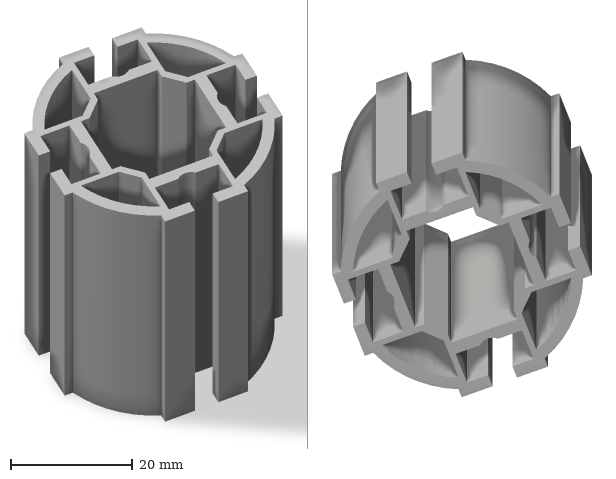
import cadquery as cq
import math

length = 50.0
outer_radius = 20.0
ring_thickness = 2.0

lip_block_width = 15.2
slot_opening = 4.3
slot_width = 11.7
lip_thickness = 2.1
slot_floor = 12.55
groove_width = 3.2
groove_depth = 0.65

side_web = 1.0
floor_web = 2.1
bore_corner = 8.9
diagonal_web = 1.25

inner_radius = outer_radius - ring_thickness
slot_half = slot_width / 2
bore_half = slot_floor - floor_web
pocket_edge = slot_half + side_web
pocket_corner = bore_corner + slot_half + diagonal_web * math.sqrt(2) - pocket_edge


def body():
    """Round bar with square-edged lip blocks on its four sides."""
    bar = cq.Workplane("XY").circle(outer_radius).extrude(length)
    for block_x, block_y in (
        (2 * outer_radius, lip_block_width),
        (lip_block_width, 2 * outer_radius),
    ):
        bar = bar.union(cq.Workplane("XY").rect(block_x, block_y).extrude(length))
    return bar


def bore():
    """Octagonal bore with a wide shallow notch behind each slot floor."""
    first_corner_points = [
        (bore_half, slot_half),
        (bore_corner, slot_half),
        (slot_half, bore_corner),
        (slot_half, bore_half),
    ]
    points = []
    for _ in range(4):
        points += first_corner_points
        first_corner_points = [(-y, x) for x, y in first_corner_points]
    return cq.Workplane("XY").polyline(points).close().extrude(length)


def slot():
    """T-slot open toward +X, with a round-bottomed groove in its floor."""
    opening_half = slot_opening / 2
    groove_half = groove_width / 2
    lip_inside = outer_radius - lip_thickness
    return (
        cq.Workplane("XY")
        .moveTo(outer_radius, -opening_half)
        .lineTo(outer_radius, opening_half)
        .lineTo(lip_inside, opening_half)
        .lineTo(lip_inside, slot_half)
        .lineTo(slot_floor, slot_half)
        .lineTo(slot_floor, groove_half)
        .threePointArc((slot_floor - groove_depth, 0), (slot_floor, -groove_half))
        .lineTo(slot_floor, -slot_half)
        .lineTo(lip_inside, -slot_half)
        .lineTo(lip_inside, -opening_half)
        .close()
        .extrude(length)
    )


def pocket():
    """Hollow between two neighbouring slots, bounded outside by the ring."""
    pocket_end = math.sqrt(inner_radius**2 - pocket_edge**2)
    arc_middle = inner_radius / math.sqrt(2)
    return (
        cq.Workplane("XY")
        .moveTo(pocket_corner, pocket_edge)
        .lineTo(pocket_end, pocket_edge)
        .threePointArc((arc_middle, arc_middle), (pocket_edge, pocket_end))
        .lineTo(pocket_edge, pocket_corner)
        .close()
        .extrude(length)
    )


result = body().cut(bore())
for angle in (0, 90, 180, 270):
    for hollow in (slot(), pocket()):
        result = result.cut(hollow.rotate((0, 0, 0), (0, 0, 1), angle))